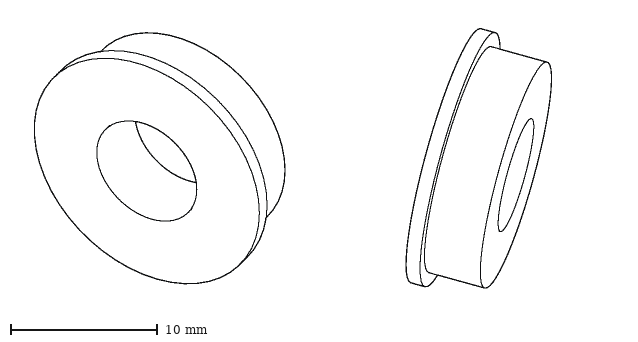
import cadquery as cq

flange_diameter = 18.0
body_diameter = 16.0
bore_diameter = 8.0
overall_length = 5.0
flange_thickness = 1.0


def cylinder_along_y(diameter, length):
    """Cylinder starting at Y = 0 and extending toward +Y."""
    return cq.Workplane("XZ").circle(diameter / 2).extrude(-length)


flange = cylinder_along_y(flange_diameter, flange_thickness)
body = cylinder_along_y(body_diameter, overall_length)
bore = cylinder_along_y(bore_diameter, overall_length)

result = flange.union(body).cut(bore)